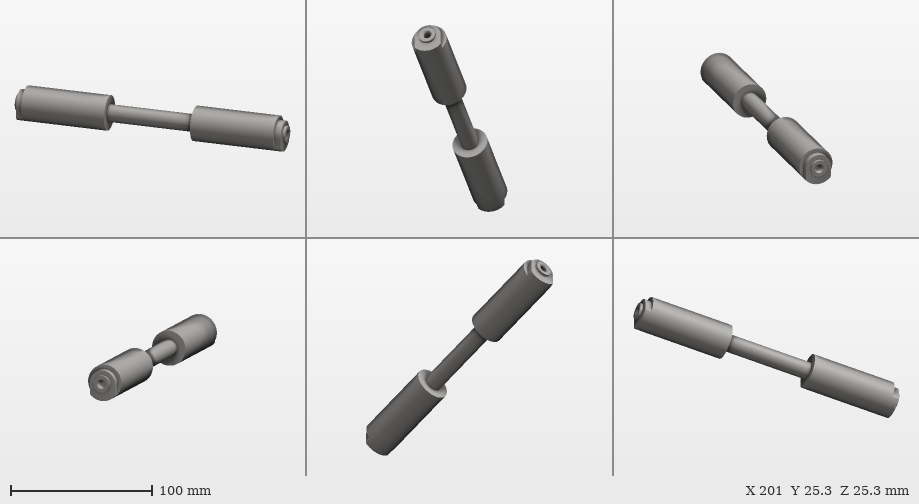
import cadquery as cq
import math

total_length = 201.0
roller_diameter = 25.3
shaft_diameter = 12.7
end_stub_diameter = 12.0

collar_inset = 2.0
roller_inset = 6.8
roller_length = 61.7

collar_width = 19.0

hole_diameter = 5.2
hole_mouth_diameter = 6.8
hole_depth = 12.0
drill_point_angle = 118.0

half_length = total_length / 2
collar_length = roller_inset - collar_inset


def disc(start_x, length, diameter):
    """Solid cylinder along +X, starting at start_x."""
    return cq.Workplane("YZ", origin=(start_x, 0, 0)).circle(diameter / 2).extrude(length)


def make_roller():
    """Left-hand roller body."""
    return disc(-half_length + roller_inset, roller_length, roller_diameter)


def make_collar():
    """Left-hand collar, a round-topped tongue reaching down to the roller's surface."""
    start_x = -half_length + collar_inset
    round_top = disc(start_x, collar_length, collar_width)
    lower_block = cq.Workplane("XY").box(
        collar_length, collar_width, roller_diameter / 2, centered=(False, True, False)
    ).translate((start_x, 0, -roller_diameter / 2))
    envelope = disc(start_x, collar_length, roller_diameter)
    return round_top.union(lower_block.intersect(envelope))


def make_end_hole():
    """Left-hand blind hole with a 45 degree countersunk mouth and a conical bottom."""
    hole_radius = hole_diameter / 2
    mouth_radius = hole_mouth_diameter / 2
    mouth_depth = mouth_radius - hole_radius
    point_depth = hole_radius / math.tan(math.radians(drill_point_angle / 2))
    profile = [
        (0, 0),
        (0, mouth_radius),
        (mouth_depth, hole_radius),
        (hole_depth, hole_radius),
        (hole_depth + point_depth, 0),
    ]
    return (
        cq.Workplane("XY", origin=(-half_length, 0, 0))
        .polyline(profile)
        .close()
        .revolve(360, (0, 0, 0), (1, 0, 0))
    )


shaft = disc(-half_length, total_length, end_stub_diameter)
middle_bar = disc(-half_length + roller_inset, total_length - 2 * roller_inset, shaft_diameter)
left_end = make_roller().union(make_collar())
end_hole = make_end_hole()

result = shaft.union(middle_bar).union(left_end).union(left_end.mirror("YZ"))
result = result.cut(end_hole).cut(end_hole.mirror("YZ"))